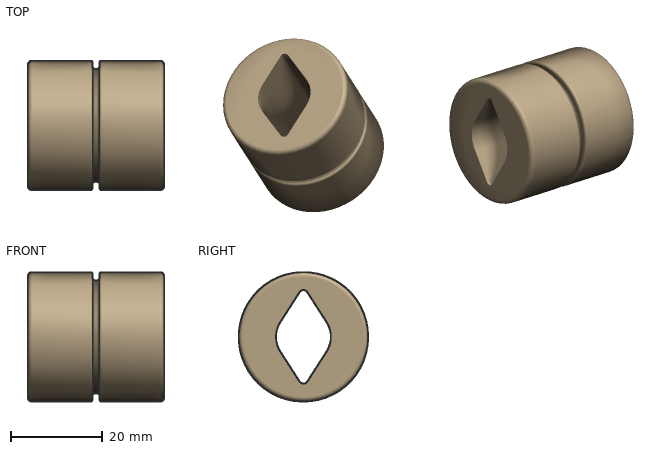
import cadquery as cq
import math

length = 30.0
outer_radius = 28.5 / 2
end_round = 1.0

groove_width = 1.5
groove_depth = 1.8
groove_round = 0.5

hole_radius = 6.0
hole_height = 20.52
tip_radius = 1.0


def make_body():
    """Solid cylinder centred on the origin with rounded ends."""
    cylinder = cq.Workplane("YZ").circle(outer_radius).extrude(length / 2, both=True)
    return cylinder.faces("<X or >X").edges().fillet(end_round)


def make_groove_cutter():
    """Ring cutter with a rounded floor and flared, rounded lips."""
    half_width = groove_width / 2
    lip_x = half_width + groove_round
    floor_x = half_width - groove_round
    floor_radius = outer_radius - groove_depth
    lip_bottom = outer_radius - groove_round
    floor_round_top = floor_radius + groove_round
    profile = (
        cq.Workplane("XY")
        .moveTo(-lip_x, outer_radius)
        .radiusArc((-half_width, lip_bottom), groove_round)
        .lineTo(-half_width, floor_round_top)
        .radiusArc((-floor_x, floor_radius), -groove_round)
        .lineTo(floor_x, floor_radius)
        .radiusArc((half_width, floor_round_top), -groove_round)
        .lineTo(half_width, lip_bottom)
        .radiusArc((lip_x, outer_radius), groove_round)
        .lineTo(lip_x, outer_radius + groove_depth)
        .lineTo(-lip_x, outer_radius + groove_depth)
        .close()
    )
    return profile.revolve(360, (0, 0, 0), (1, 0, 0))


def make_hole_cutter():
    """Tall rounded lozenge running the full length along X."""
    tip_center = hole_height / 2 - tip_radius
    tangent_angle = math.asin((hole_radius - tip_radius) / tip_center)
    side_y = hole_radius * math.cos(tangent_angle)
    side_z = hole_radius * math.sin(tangent_angle)
    tip_y = tip_radius * math.cos(tangent_angle)
    tip_z = tip_center + tip_radius * math.sin(tangent_angle)
    return (
        cq.Workplane("YZ")
        .moveTo(side_y, -side_z)
        .threePointArc((hole_radius, 0), (side_y, side_z))
        .lineTo(tip_y, tip_z)
        .threePointArc((0, hole_height / 2), (-tip_y, tip_z))
        .lineTo(-side_y, side_z)
        .threePointArc((-hole_radius, 0), (-side_y, -side_z))
        .lineTo(-tip_y, -tip_z)
        .threePointArc((0, -hole_height / 2), (tip_y, -tip_z))
        .close()
        .extrude(length / 2, both=True)
    )


result = make_body().cut(make_groove_cutter()).cut(make_hole_cutter())